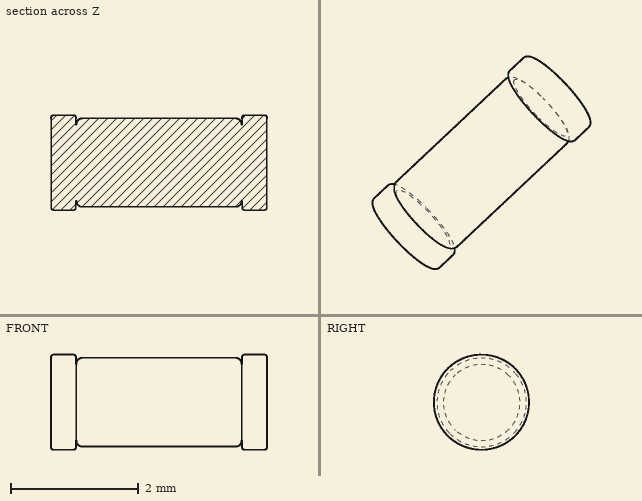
import cadquery as cq

total_length = 3.4
cap_diameter = 1.5
cap_length = 0.4
cap_edge_radius = 0.05
body_diameter = 1.4
body_edge_radius = 0.1

band_offset = 0.3
band_width = 0.3

half_length = total_length / 2
body_start = -half_length + cap_length
body_end = half_length - cap_length
band_start = body_start + band_offset
band_end = band_start + band_width


def cylinder_along_x(start, end, diameter):
    """Solid cylinder on the X axis from `start` to `end`."""
    return cq.Workplane("YZ", origin=(start, 0, 0)).circle(diameter / 2).extrude(end - start)


def make_cap(start):
    """End cap with both rims rounded, its -X face at `start`."""
    cap = cylinder_along_x(start, start + cap_length, cap_diameter)
    return cap.edges("%CIRCLE").fillet(cap_edge_radius)


def make_body():
    """Glass body with rounded ends; the band keeps its own face on the cylinder."""
    lead = cylinder_along_x(body_start, band_start, body_diameter)
    lead = lead.faces("<X").edges().fillet(body_edge_radius)
    band = cylinder_along_x(band_start, band_end, body_diameter)
    tail = cylinder_along_x(band_end, body_end, body_diameter)
    tail = tail.faces(">X").edges().fillet(body_edge_radius)
    return lead.union(band, clean=False).union(tail, clean=False)


result = make_body()
for cap_start in (-half_length, body_end):
    result = result.union(make_cap(cap_start), clean=False)